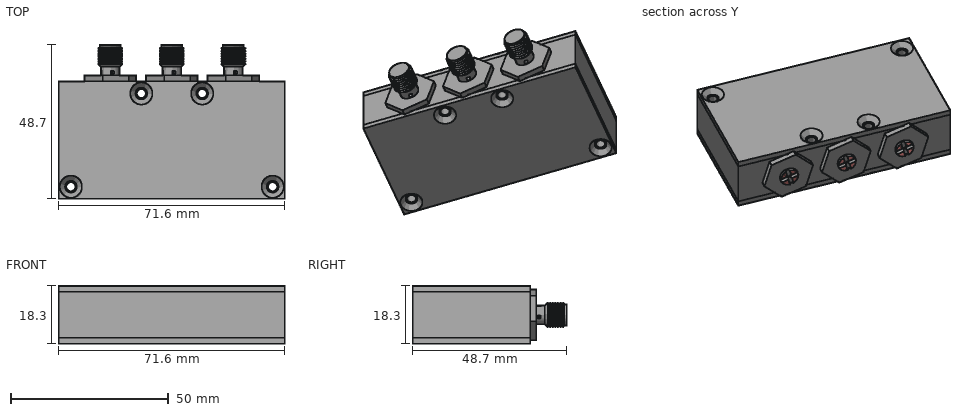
import cadquery as cq
import math

LENGTH = 71.6
DEPTH = 37.2
HEIGHT = 18.3
COVER_THICKNESS = 1.85
BLOCK_HEIGHT = HEIGHT - 2 * COVER_THICKNESS
BACK_Y = DEPTH / 2

CONNECTOR_PITCH = 19.5
CONNECTOR_REACH = 11.5
CONNECTOR_TURN = 46.5
HEX_SIDES = 6
HEX_STEP = 360 / HEX_SIDES
HEX_CORNER_RADIUS = 8.45
HEX_THICKNESS = 1.85
NECK_RADIUS = 3.0
NECK_END = 4.6
TIP_RADIUS = 3.4
THREAD_ROOT_RADIUS = 3.4
THREAD_CREST_RADIUS = 3.9
THREAD_COUNT = 7
FIRST_CREST = 5.45
LAST_CREST = 10.4
THREAD_PITCH = (LAST_CREST - FIRST_CREST) / (THREAD_COUNT - 1)

NECK_HOLE_DIAMETER = 1.15
NECK_HOLE_Y = 2.7
NECK_HOLE_TURN = CONNECTOR_TURN + HEX_STEP / 2

SCREW_INSET = 3.9
BACK_SCREW_SPACING = 19.25
COUNTERSINK_DIAMETER = 7.0
COUNTERSINK_ANGLE = 90.0
COVER_HOLE_DIAMETER = 3.7
BLOCK_HOLE_DIAMETER = 2.85

corner_screw_x = LENGTH / 2 - SCREW_INSET
back_screw_x = BACK_SCREW_SPACING / 2
screw_y = DEPTH / 2 - SCREW_INSET
screw_points = [
    (-corner_screw_x, -screw_y),
    (corner_screw_x, -screw_y),
    (-back_screw_x, screw_y),
    (back_screw_x, screw_y),
]


def make_block():
    """Middle of the enclosure, with the screw holes running through."""
    return (
        cq.Workplane("XY")
        .box(LENGTH, DEPTH, BLOCK_HEIGHT)
        .faces(">Z")
        .workplane()
        .pushPoints(screw_points)
        .hole(BLOCK_HOLE_DIAMETER)
    )


def make_top_cover():
    """Cover plate on the block, with countersinks opening upward."""
    return (
        cq.Workplane("XY")
        .workplane(offset=BLOCK_HEIGHT / 2)
        .box(LENGTH, DEPTH, COVER_THICKNESS, centered=(True, True, False))
        .faces(">Z")
        .workplane()
        .pushPoints(screw_points)
        .cskHole(COVER_HOLE_DIAMETER, COUNTERSINK_DIAMETER, COUNTERSINK_ANGLE)
    )


def make_hexagon():
    """Hexagonal flange lying against the back face."""
    corner_angles = [math.radians(CONNECTOR_TURN + HEX_STEP * i) for i in range(HEX_SIDES)]
    corners = [
        (HEX_CORNER_RADIUS * math.cos(angle), HEX_CORNER_RADIUS * math.sin(angle))
        for angle in corner_angles
    ]
    return cq.Workplane("XZ", origin=(0, BACK_Y, 0)).polyline(corners).close().extrude(-HEX_THICKNESS)


def make_barrel():
    """Neck, ring-shaped thread crests and plain tip, revolved about Y."""
    profile = [(0, 0), (NECK_RADIUS, 0), (NECK_RADIUS, NECK_END)]
    for i in range(THREAD_COUNT):
        crest = FIRST_CREST + i * THREAD_PITCH
        profile.append((THREAD_CREST_RADIUS, crest))
        profile.append((THREAD_ROOT_RADIUS, crest + THREAD_PITCH / 2))
    profile += [(TIP_RADIUS, CONNECTOR_REACH), (0, CONNECTOR_REACH)]
    return (
        cq.Workplane("XY", origin=(0, BACK_Y, 0))
        .polyline(profile)
        .close()
        .revolve(360, (0, 0, 0), (0, 1, 0))
    )


def make_neck_holes():
    """Two crossed bars that cut four radial holes through the neck."""
    bar_length = 2 * THREAD_ROOT_RADIUS
    bar = (
        cq.Workplane("YZ", origin=(-bar_length / 2, BACK_Y + NECK_HOLE_Y, 0))
        .circle(NECK_HOLE_DIAMETER / 2)
        .extrude(bar_length)
    )
    first = bar.rotate((0, 0, 0), (0, -1, 0), NECK_HOLE_TURN)
    second = bar.rotate((0, 0, 0), (0, -1, 0), NECK_HOLE_TURN + 90)
    return first.union(second)


def make_connector(x):
    """Threaded coaxial connector centred at the given X."""
    connector = make_hexagon().union(make_barrel()).cut(make_neck_holes())
    return connector.translate((x, 0, 0))


block = make_block()
top_cover = make_top_cover()
bottom_cover = top_cover.mirror("XY")
connectors = [make_connector(i * CONNECTOR_PITCH) for i in (-1, 0, 1)]

result = cq.Compound.makeCompound([
    block.val(),
    top_cover.val(),
    bottom_cover.val(),
    *[connector.val() for connector in connectors],
])